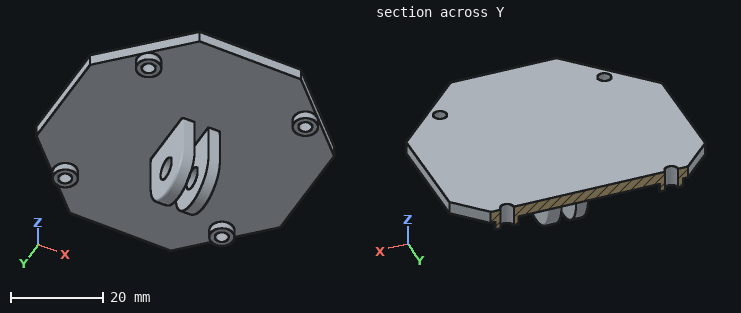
import cadquery as cq

plate_width = 60.0
plate_thickness = 3.0
plate_sides = 8

boss_spacing = 38.5
boss_diameter = 5.5
boss_height = 2.0
screw_diameter = 3.0

lug_width = 15.0
lug_thickness = 3.0
lug_gap = 3.4
lug_pin_drop = 9.0
lug_pin_diameter = 5.1
lug_rounding = 0.5


def make_plate():
    """Regular octagon with flat sides facing X and Y."""
    octagon = cq.Workplane("XY").polygon(plate_sides, plate_width, circumscribed=True)
    return octagon.extrude(plate_thickness)


def boss_cylinders(diameter, bottom, top):
    """One cylinder at each of the four boss positions."""
    return (
        cq.Workplane("XY", origin=(0, 0, bottom))
        .rect(boss_spacing, boss_spacing, forConstruction=True)
        .vertices()
        .circle(diameter / 2)
        .extrude(top - bottom)
    )


def make_lug():
    """Round-ended lug on the +X side, its outer rim rounded below the plate."""
    half_width = lug_width / 2
    outer_face = lug_gap / 2 + lug_thickness
    lug = (
        cq.Workplane("YZ", origin=(lug_gap / 2, 0, 0))
        .moveTo(-half_width, 0)
        .lineTo(-half_width, -lug_pin_drop)
        .threePointArc((0, -lug_pin_drop - half_width), (half_width, -lug_pin_drop))
        .lineTo(half_width, 0)
        .close()
        .extrude(lug_thickness)
    )
    outer_rim = lug.faces(">X").edges("not(>Z)")
    lug = outer_rim.fillet(lug_rounding)
    pin_hole = (
        cq.Workplane("YZ")
        .center(0, -lug_pin_drop)
        .circle(lug_pin_diameter / 2)
        .extrude(outer_face)
    )
    return lug.cut(pin_hole)


def make_part():
    lug = make_lug()
    body = make_plate()
    body = body.union(boss_cylinders(boss_diameter, -boss_height, 0))
    body = body.union(lug).union(lug.mirror("YZ"))
    return body.cut(boss_cylinders(screw_diameter, -boss_height, plate_thickness))


result = make_part()